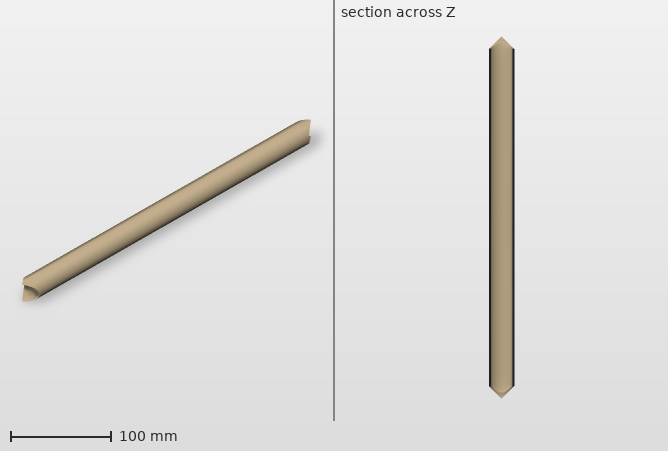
import cadquery as cq

length = 360.0
outer_diameter = 25.0
wall = 1.5

outer_radius = outer_diameter / 2
inner_radius = outer_radius - wall


def tube():
    """Round tube along Y, centred on the origin."""
    profile = cq.Workplane("XZ").circle(outer_radius).circle(inner_radius)
    return profile.extrude(length / 2, both=True)


def saddle_cutter(end_y):
    """Cylinder along X, as wide as the tube, that copes one tube end."""
    cutter = cq.Workplane("YZ").center(end_y, 0).circle(outer_radius)
    return cutter.extrude(outer_diameter, both=True)


result = tube()
for end_y in (-length / 2, length / 2):
    result = result.cut(saddle_cutter(end_y))